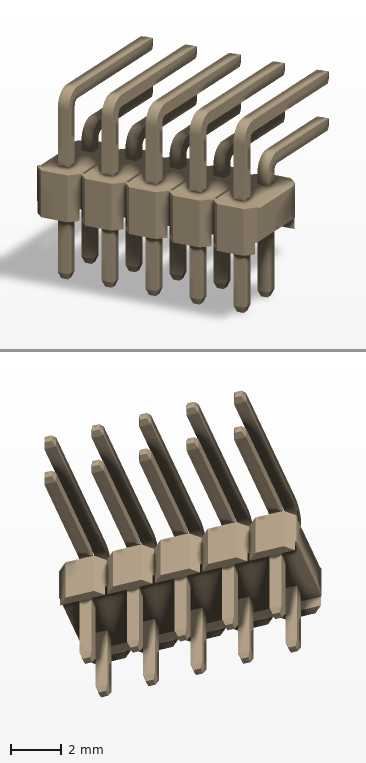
import cadquery as cq

columns = 5
pitch = 2.0
length = columns * pitch

housing_depth = 2 * pitch
housing_height = 2.0
corner_chamfer = 0.4
channel_height = 0.5
foot_thickness = 0.35
groove_width = 0.19
groove_depth = groove_width / 2
groove_length = 3.0

pin_width = 0.5
pin_bottom = -2.8
pin_reach = 6.0
bend_inner_radius = 0.25
tip_length = 0.27
tip_width = 0.3
row_y = (-pitch / 2, pitch / 2)
upper_arm_height = 5.0
row_arm_height = (upper_arm_height, upper_arm_height - pitch)


def column_x(index):
    return (index - (columns - 1) / 2) * pitch


def make_cell(x):
    """One octagonal housing cell."""
    return (
        cq.Workplane("XY")
        .center(x, 0)
        .rect(pitch, housing_depth)
        .extrude(housing_height)
        .edges("|Z")
        .chamfer(corner_chamfer)
    )


def make_groove(x):
    """V-shaped score in the top face with sloping ends, as a cutting solid."""
    half_width = groove_width / 2
    half_length = groove_length / 2
    score = (
        cq.Workplane("XZ", origin=(x, half_length, housing_height))
        .polyline([(-half_width, 0), (half_width, 0), (0, -groove_depth)])
        .close()
        .extrude(groove_length)
    )
    side_profile = (
        cq.Workplane("YZ", origin=(x - half_width, 0, housing_height))
        .polyline(
            [
                (-half_length, 0),
                (half_length, 0),
                (half_length - groove_depth, -groove_depth),
                (groove_depth - half_length, -groove_depth),
            ]
        )
        .close()
        .extrude(groove_width)
    )
    return score.intersect(side_profile)


def make_housing():
    """Row of cells with an underside channel that leaves feet along both long sides."""
    housing = make_cell(column_x(0))
    for index in range(1, columns):
        housing = housing.union(make_cell(column_x(index)))
    channel = cq.Workplane("XY").box(
        length,
        housing_depth - 2 * foot_thickness,
        channel_height,
        centered=(True, True, False),
    )
    housing = housing.cut(channel)
    for index in range(columns + 1):
        housing = housing.cut(make_groove(column_x(index) - pitch / 2))
    return housing


def make_tip(plane):
    """Pyramid frustum from the full pin section to the blunt end."""
    return (
        cq.Workplane(plane)
        .rect(pin_width, pin_width)
        .workplane(offset=tip_length)
        .rect(tip_width, tip_width)
        .loft(ruled=True)
    )


def make_pin(x, y, arm_height):
    """Right-angle pin through the housing, pointed at both ends."""
    bend_radius = bend_inner_radius + pin_width / 2
    lower_end = pin_bottom + tip_length
    arm_end = pin_reach - tip_length
    path = (
        cq.Workplane("YZ", origin=(x, 0, 0))
        .moveTo(y, lower_end)
        .lineTo(y, arm_height - bend_radius)
        .radiusArc((y + bend_radius, arm_height), bend_radius)
        .lineTo(arm_end, arm_height)
    )
    bent_bar = (
        cq.Workplane("XY", origin=(x, y, lower_end))
        .rect(pin_width, pin_width)
        .sweep(path)
    )
    lower_tip = make_tip(cq.Plane((x, y, lower_end), (1, 0, 0), (0, 0, -1)))
    arm_tip = make_tip(cq.Plane((x, arm_end, arm_height), (1, 0, 0), (0, 1, 0)))
    return bent_bar.union(lower_tip).union(arm_tip)


result = make_housing()
for index in range(columns):
    for y, arm_height in zip(row_y, row_arm_height):
        result = result.union(make_pin(column_x(index), y, arm_height))